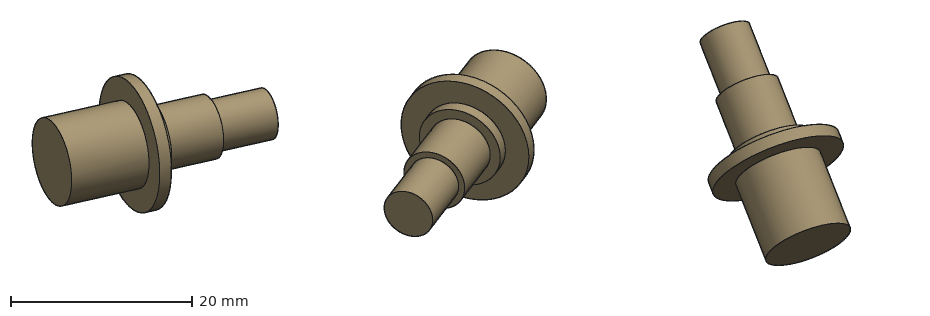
import cadquery as cq

total_length = 26.35

head_diameter = 10.0
head_length = 9.49

flange_diameter = 15.45
flange_length = 1.45

collar_diameter = 9.78
collar_length = 1.4

shank_diameter = 7.35
shank_length = 6.95

tip_diameter = 5.88
tip_length = total_length - head_length - flange_length - collar_length - shank_length


def add_step(body, diameter, length):
    """Stack a cylinder on the rear (+Y) face of the body."""
    return body.faces(">Y").workplane(centerOption="CenterOfMass").circle(diameter / 2).extrude(length)


pin = cq.Workplane("XZ", origin=(0, -total_length / 2, 0)).circle(head_diameter / 2).extrude(-head_length)

rear_steps = [
    (flange_diameter, flange_length),
    (collar_diameter, collar_length),
    (shank_diameter, shank_length),
    (tip_diameter, tip_length),
]
for step_diameter, step_length in rear_steps:
    pin = add_step(pin, step_diameter, step_length)

result = pin